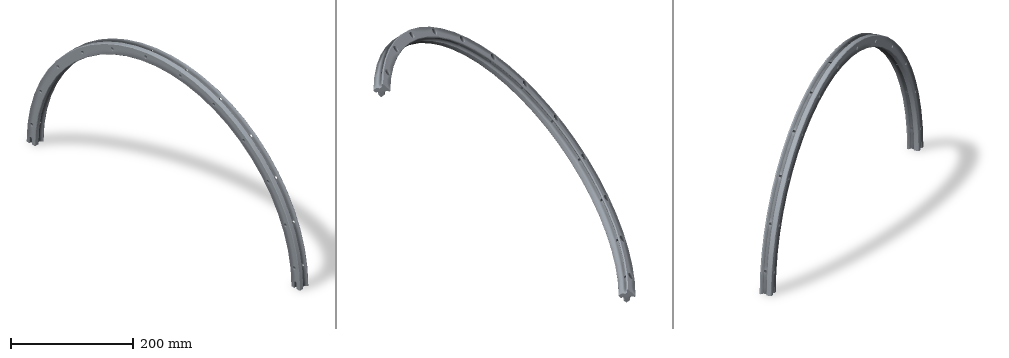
import cadquery as cq
import math

outer_radius = 310.0
rail_width = 20.0
rail_depth = 21.0
mid_radius = outer_radius - rail_width / 2
half_width = rail_width / 2

front_y = -rail_depth / 2
back_y = rail_depth / 2
front_flange = 8.0
back_flange = 2.5
groove_depth = 4.5
groove_floor = 4.5
edge_chamfer = 0.9
groove_front_y = front_y + front_flange
groove_back_y = back_y - back_flange
floor_front_y = (groove_front_y + groove_back_y - groove_floor) / 2
floor_back_y = floor_front_y + groove_floor

hole_count = 12
hole_pitch = 180 / hole_count
hole_diameter = 6.0
counterbore_diameter = 12.0
counterbore_floor_y = floor_front_y

slot_width = 5.5
slot_length = 13.5
slot_depth = 4.0


def half_ring_rail():
    """Revolve the grooved cross-section through half a turn about Y."""
    waist = half_width - groove_depth
    outer_edge = [
        (half_width - edge_chamfer, front_y),
        (half_width, front_y + edge_chamfer),
        (half_width, groove_front_y),
        (waist, floor_front_y),
        (waist, floor_back_y),
        (half_width, groove_back_y),
        (half_width, back_y - edge_chamfer),
        (half_width - edge_chamfer, back_y),
    ]
    inner_edge = [(-offset, y) for offset, y in reversed(outer_edge)]
    section = [(mid_radius + offset, y) for offset, y in outer_edge + inner_edge]
    return cq.Workplane("XY").polyline(section).close().revolve(180, (0, 0), (0, -1))


def cylinder_along_y(x, z, diameter, start_y, end_y):
    axis = cq.Vector(0, 1, 0)
    return cq.Solid.makeCylinder(diameter / 2, end_y - start_y, cq.Vector(x, start_y, z), axis)


def drill_screw_holes(body):
    for index in range(hole_count):
        angle = math.radians((index + 0.5) * hole_pitch)
        x = mid_radius * math.cos(angle)
        z = mid_radius * math.sin(angle)
        body = body.cut(cylinder_along_y(x, z, hole_diameter, front_y, back_y))
        body = body.cut(cylinder_along_y(x, z, counterbore_diameter, counterbore_floor_y, back_y))
    return body


def cut_end_slots(body):
    slot_end_y = front_y + slot_depth
    straight_length = slot_length - slot_width / 2
    for x in (-mid_radius, mid_radius):
        corner = cq.Vector(x - slot_width / 2, front_y, 0)
        body = body.cut(cq.Solid.makeBox(slot_width, slot_depth, straight_length, corner))
        body = body.cut(cylinder_along_y(x, straight_length, slot_width, front_y, slot_end_y))
    return body


result = cut_end_slots(drill_screw_holes(half_ring_rail()))